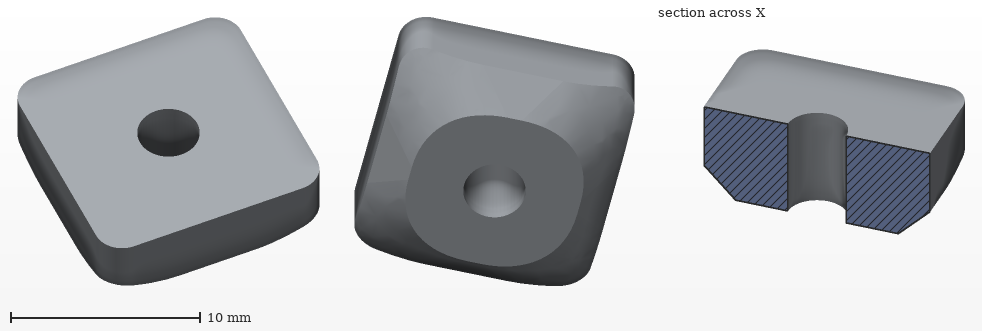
import cadquery as cq

side = 12.8
height = 5.5
corner_radius = 1.5
hole_diameter = 3.3

taper_height = 1.8
taper_corner_radius = 5.95
bottom_side = side - 2 * taper_height


def rounded_plate():
    plate = cq.Workplane("XY").rect(side, side).extrude(height)
    return plate.edges("|Z").fillet(corner_radius)


def tapered_envelope():
    """Inverted square pyramid, wide at the top, with its sloping edges rounded."""
    top_side = bottom_side + 2 * height
    pyramid = (
        cq.Workplane("XY")
        .rect(bottom_side, bottom_side)
        .workplane(offset=height)
        .rect(top_side, top_side)
        .loft(ruled=True)
    )
    return pyramid.edges("not(#Z)").fillet(taper_corner_radius)


body = rounded_plate().intersect(tapered_envelope())
result = body.faces(">Z").workplane().hole(hole_diameter)